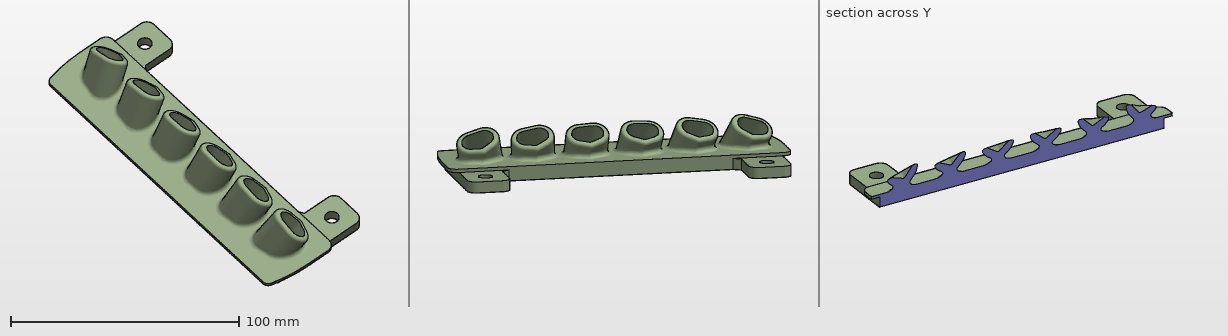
import cadquery as cq
import math

plate_width = 154.0
plate_depth = 37.0
plate_thickness = 1.5
back_corner_radius = 4.0
front_corner_radius = 3.0
side_straight_length = 16.0
side_curve_radius = 75.0

base_width = 145.4
base_thickness = 5.0
base_front_y = -31.5
base_corner_radius = 2.5
base_front_step = 0.7
step_start = 4.7
step_end = 8.5
tab_width = 19.0
tab_length = 19.8
tab_corner_radius = 4.0
tab_hole_diameter = 6.3
tab_hole_from_end = 9.9
tab_gusset_width = 3.4
tab_gusset_length = 2.2

nozzle_spacing = 23.55
nozzle_y = -plate_depth / 2
nozzle_length = 12.625
nozzle_lean = 34.0
nozzle_fan_step = 6.6
nozzles_per_side = 3
nozzle_flat = 6.0
nozzle_outer_radius = 6.6
nozzle_wall = 2.5
roof_angle = 21.0
peak_radius = 2.0
bore_end = -20.0
rim_fillet = 1.5
root_fillet = 1.8
nozzle_overlap = 1.0
edge_margin = 2.0
flat_tolerance = 0.01

half_plate = plate_width / 2
half_base = base_width / 2
base_bottom = -plate_thickness - base_thickness


def make_plate():
    """Thin cover plate whose sides curve inward toward the front."""
    curve_length = plate_depth - side_straight_length

    def side_x(distance):
        """Half width at a distance along Y past the straight part."""
        sagitta = side_curve_radius - math.sqrt(side_curve_radius**2 - distance**2)
        return half_plate - sagitta

    middle = (side_x(curve_length / 2), -side_straight_length - curve_length / 2)
    front = (side_x(curve_length), -plate_depth)
    plate = (
        cq.Workplane("XY")
        .moveTo(-half_plate, 0)
        .lineTo(half_plate, 0)
        .lineTo(half_plate, -side_straight_length)
        .threePointArc(middle, front)
        .lineTo(-front[0], front[1])
        .threePointArc((-middle[0], middle[1]), (-half_plate, -side_straight_length))
        .close()
        .extrude(-plate_thickness)
    )
    plate = plate.edges("|Z and >Y").fillet(back_corner_radius)
    return plate.edges("|Z and <Y").fillet(front_corner_radius)


def make_base():
    """Solid base with two drilled mounting tabs."""
    tab_inner = half_base - tab_width
    corner_y = base_front_y + base_front_step
    right_side = [
        (tab_inner - tab_gusset_width, 0),
        (tab_inner, tab_gusset_length),
        (tab_inner, tab_length),
        (half_base, tab_length),
        (half_base, corner_y),
        (half_base - step_start, corner_y),
        (half_base - step_end, base_front_y),
    ]
    left_side = [(-x, y) for x, y in reversed(right_side)]
    base = (
        cq.Workplane("XY")
        .workplane(offset=base_bottom)
        .polyline(right_side + left_side)
        .close()
        .extrude(base_thickness)
    )
    base = base.edges("|Z and >Y").fillet(tab_corner_radius)
    front_corners = cq.selectors.BoxSelector(
        (-plate_width, corner_y - base_front_step / 2, base_bottom),
        (plate_width, corner_y + base_front_step / 2, 0),
    )
    outer_corners = base.edges("|Z").edges(front_corners).edges("<X or >X")
    base = outer_corners.fillet(base_corner_radius)

    hole_x = half_base - tab_width / 2
    hole_y = tab_length - tab_hole_from_end
    holes = (
        cq.Workplane("XY")
        .workplane(offset=base_bottom)
        .pushPoints([(-hole_x, hole_y), (hole_x, hole_y)])
        .circle(tab_hole_diameter / 2)
        .extrude(base_thickness)
    )
    return base.cut(holes)


def nozzle_prism(radius, bottom, top):
    """Upright prism: flat front, round sides and a rounded roof at the back."""
    half_flat = nozzle_flat / 2
    angle = math.radians(roof_angle)
    side_end_x = half_flat + radius * math.sin(angle)
    side_end_y = radius * math.cos(angle)
    peak_y = side_end_y + side_end_x * math.tan(angle)
    side_x = half_flat + radius
    section = (
        cq.Workplane("XY")
        .workplane(offset=bottom)
        .moveTo(-half_flat, -radius)
        .lineTo(half_flat, -radius)
        .threePointArc((side_x, 0), (side_end_x, side_end_y))
    )
    prism = (
        section.lineTo(0, peak_y)
        .lineTo(-side_end_x, side_end_y)
        .threePointArc((-side_x, 0), (-half_flat, -radius))
        .close()
        .extrude(top - bottom)
    )
    return prism.edges("|Z and >Y").fillet(peak_radius)


def place_nozzle(shape, x, fan_angle):
    """Lean an upright shape backward, fan it sideways and move it to its seat."""
    leaned = shape.rotate((0, 0, 0), (1, 0, 0), -nozzle_lean)
    fanned = leaned.rotate((0, 0, 0), (0, 1, 0), fan_angle)
    return fanned.translate((x, nozzle_y, 0))


def nozzle_body(x, fan_angle):
    """Solid nozzle with a rounded rim, trimmed just below the plate top."""
    sunk = 2 * nozzle_outer_radius
    body = nozzle_prism(nozzle_outer_radius, -sunk, nozzle_length)
    body = body.faces(">Z").edges().fillet(rim_fillet)
    keep = (
        cq.Workplane("XY")
        .workplane(offset=-nozzle_overlap)
        .rect(2 * plate_width, 2 * plate_width)
        .extrude(2 * nozzle_length)
    )
    return place_nozzle(body, x, fan_angle).intersect(keep)


def nozzle_bore(x, fan_angle):
    """Through bore with the section of the nozzle, one wall thickness smaller."""
    bore = nozzle_prism(nozzle_outer_radius - nozzle_wall, bore_end, nozzle_length)
    return place_nozzle(bore, x, fan_angle)


def make_cover():
    """Cover plate with its solid nozzles, built as a left half and mirrored."""
    half_space = cq.Workplane("XY").box(plate_width, 2 * plate_width, 2 * plate_width)
    half = make_plate().intersect(half_space.translate((-half_plate, 0, 0)))
    for x, fan_angle in left_seats:
        half = half.union(nozzle_body(x, fan_angle))
    root_zone = cq.selectors.BoxSelector(
        (-half_plate + edge_margin, -plate_depth + edge_margin, -flat_tolerance),
        (-edge_margin, -edge_margin, flat_tolerance),
    )
    half = half.edges(root_zone).fillet(root_fillet)
    return half.union(half.mirror("YZ"))


def cut_bores(part):
    """Cut the bores of all nozzles through the part."""
    for x, fan_angle in left_seats:
        bore = nozzle_bore(x, fan_angle)
        part = part.cut(bore).cut(bore.mirror("YZ"))
    return part


left_seats = []
for index in range(nozzles_per_side):
    steps_from_middle = index + 0.5
    left_seats.append((-nozzle_spacing * steps_from_middle, -nozzle_fan_step * steps_from_middle))

result = cut_bores(make_cover().union(make_base()))